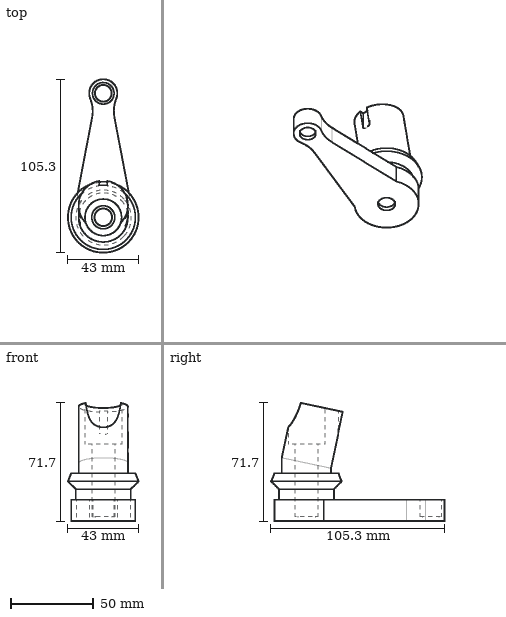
import cadquery as cq
import math

arm_thickness = 13.0
hub_diameter = 39.0
boss_diameter = 17.2
boss_y = 75.17
arm_taper = 10.8
arm_root_y = 10.6
neck_fillet_radius = 20.0

boss_hole_diameter = 10.0
boss_seat_diameter = 13.1
boss_seat_depth = 10.0

collar_neck_diameter = 33.5
collar_diameter = 43.0
collar_top_diameter = 39.0
collar_base_z = 19.4
collar_rim_z = 24.0
collar_top_z = 29.0
tube_diameter = 30.0

lean = 12.0
joint_center_z = 35.3
leaning_length = 34.88

main_bore_diameter = 22.2
main_bore_floor_z = 47.0
hub_seat_diameter = 14.0
hub_seat_floor_z = 3.0
hub_hole_diameter = 10.5

keyway_width = 5.0
keyway_wall_y = 19.3

tube_radius = tube_diameter / 2
lean_angle = math.radians(lean)
clear_height = joint_center_z + leaning_length + tube_diameter


def cylinder(diameter, bottom_z, top_z, y=0.0):
    return cq.Workplane("XY", origin=(0, y, bottom_z)).circle(diameter / 2).extrude(top_z - bottom_z)


def make_arm():
    hub_radius = hub_diameter / 2
    boss_radius = boss_diameter / 2
    taper = math.radians(arm_taper)
    root_x = math.sqrt(hub_radius**2 - arm_root_y**2)

    normal_x, normal_y = math.cos(taper), math.sin(taper)
    along_x, along_y = -math.sin(taper), math.cos(taper)
    base_x = root_x + neck_fillet_radius * normal_x
    base_y = arm_root_y + neck_fillet_radius * normal_y - boss_y
    center_distance = boss_radius + neck_fillet_radius
    projection = base_x * along_x + base_y * along_y
    excess = base_x**2 + base_y**2 - center_distance**2
    side_length = -projection - math.sqrt(projection**2 - excess)

    blend_x = base_x + side_length * along_x
    blend_y = boss_y + base_y + side_length * along_y
    side_end = (root_x + side_length * along_x, arm_root_y + side_length * along_y)
    toward_boss = math.atan2(boss_y - blend_y, -blend_x)
    toward_side = math.atan2(-normal_y, -normal_x) + 2 * math.pi
    middle = (toward_boss + toward_side) / 2

    def blend_point(angle):
        return (
            blend_x + neck_fillet_radius * math.cos(angle),
            blend_y + neck_fillet_radius * math.sin(angle),
        )

    def mirrored(point):
        return (-point[0], point[1])

    blend_middle = blend_point(middle)
    blend_end = blend_point(toward_boss)
    return (
        cq.Workplane("XY")
        .moveTo(root_x, arm_root_y)
        .lineTo(*side_end)
        .threePointArc(blend_middle, blend_end)
        .threePointArc((0, boss_y + boss_radius), mirrored(blend_end))
        .threePointArc(mirrored(blend_middle), mirrored(side_end))
        .lineTo(-root_x, arm_root_y)
        .threePointArc((0, -hub_radius), (root_x, arm_root_y))
        .close()
        .extrude(arm_thickness)
    )


def make_collar():
    neck_radius = collar_neck_diameter / 2
    return (
        cq.Workplane("XZ")
        .moveTo(0, 0)
        .lineTo(neck_radius, 0)
        .lineTo(neck_radius, collar_base_z)
        .lineTo(collar_diameter / 2, collar_rim_z)
        .lineTo(collar_top_diameter / 2, collar_top_z)
        .lineTo(0, collar_top_z)
        .close()
        .revolve(360, (0, 0), (0, 1))
    )


def joint_plane():
    """Workplane on the joint, its local Y pointing toward part +Y."""
    direction = (0, math.sin(lean_angle), math.cos(lean_angle))
    origin = (0, 0, joint_center_z)
    return cq.Workplane(cq.Plane(origin=origin, xDir=(1, 0, 0), normal=direction))


def make_tube():
    above_joint = joint_plane().rect(2 * tube_diameter, 2 * tube_diameter).extrude(clear_height)
    upright = cylinder(tube_diameter, 0, clear_height).cut(above_joint)

    joint_radius_y = tube_radius / math.cos(lean_angle)
    leaning = joint_plane().ellipse(tube_radius, joint_radius_y).extrude(leaning_length)
    return upright.union(leaning)


def make_keyway():
    keyway_reach = tube_diameter
    return (
        cq.Workplane("XY", origin=(0, keyway_wall_y + keyway_reach / 2, collar_top_z))
        .rect(keyway_width, keyway_reach)
        .extrude(clear_height - collar_top_z)
    )


body = make_arm().union(make_collar()).union(make_tube())

body = body.cut(cylinder(main_bore_diameter, main_bore_floor_z, clear_height))
body = body.cut(cylinder(hub_seat_diameter, hub_seat_floor_z, main_bore_floor_z))
body = body.cut(cylinder(hub_hole_diameter, 0, hub_seat_floor_z))

boss_seat_floor_z = arm_thickness - boss_seat_depth
body = body.cut(cylinder(boss_seat_diameter, boss_seat_floor_z, arm_thickness, boss_y))
body = body.cut(cylinder(boss_hole_diameter, 0, boss_seat_floor_z, boss_y))

result = body.cut(make_keyway())